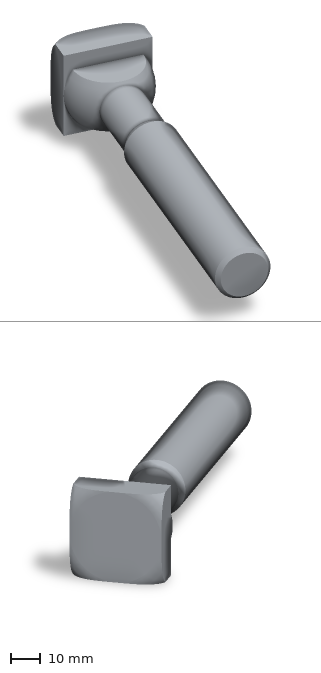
import cadquery as cq

total_length = 137.0
head_width = 32.0
head_thickness = 12.0
head_corner_radius = 7.0
collar_flat_width = 19.5
neck_diameter = 16.9
shank_diameter = 20.0
taper_start = 48.8
taper_length = 3.3
tip_chamfer = 1.5


def make_head():
    """Square head whose corners are rounded off around the bolt axis."""
    block = cq.Workplane("YZ").rect(head_width, head_width).extrude(head_thickness)
    rounding_radius = head_width / 2 + head_corner_radius
    rounded_disc = (
        cq.Workplane("YZ")
        .circle(rounding_radius)
        .extrude(head_thickness)
        .faces("<X")
        .edges()
        .fillet(head_corner_radius)
    )
    return block.intersect(rounded_disc)


def make_collar():
    """Half ball behind the head, cut by two flats facing up and down."""
    radius = head_width / 2
    ball = cq.Workplane("XY").sphere(radius).translate((head_thickness, 0, 0))
    flats = cq.Workplane("XY").box(
        radius, head_width, collar_flat_width, centered=(False, True, True)
    ).translate((head_thickness, 0, 0))
    return ball.intersect(flats)


def make_stem():
    """Neck, taper and shank with a chamfered tip, revolved about X."""
    neck_radius = neck_diameter / 2
    shank_radius = shank_diameter / 2
    profile = [
        (head_thickness, 0),
        (head_thickness, neck_radius),
        (taper_start, neck_radius),
        (taper_start + taper_length, shank_radius),
        (total_length - tip_chamfer, shank_radius),
        (total_length, shank_radius - tip_chamfer),
        (total_length, 0),
    ]
    return cq.Workplane("XY").polyline(profile).close().revolve(360, (0, 0, 0), (1, 0, 0))


result = make_head().union(make_collar()).union(make_stem())